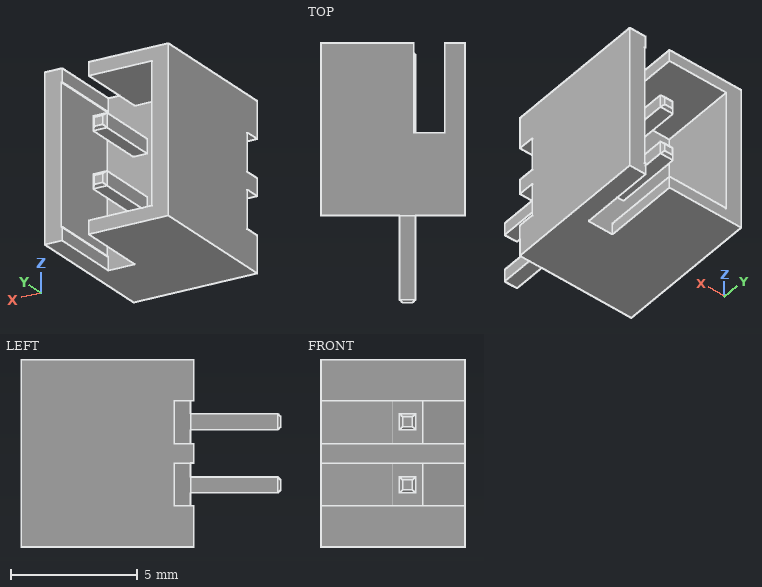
import cadquery as cq

WIDTH = 5.73
LENGTH = 6.85
OVERALL_LENGTH = 10.3
HEIGHT = 7.43

CAVITY_DEPTH = 3.55
SIDE_WALL = 0.77
FLAT_WALL = 0.6

SLOT_WIDTH = 1.23
SLOT_EDGE_WALL = 0.81

PIN_X = 3.44
PIN_PITCH = 2.5
PIN_SIZE = 0.64
PIN_TAIL = OVERALL_LENGTH - LENGTH
PIN_SETBACK = 0.35
PIN_CHAMFER = 0.12

GROOVE_PITCH = 2.46
GROOVE_HEIGHT = 1.69
GROOVE_LAND_WIDTH = 1.22
GROOVE_LAND_DEPTH = 0.13
GROOVE_END_DEPTH = 0.77


def corner_box(x_size, y_size, z_size, corner):
    return cq.Workplane("XY").box(x_size, y_size, z_size, centered=False).translate(corner)


def front_groove(center_z):
    """Groove that is shallow at the pin and deepens towards both sides."""
    land_left = PIN_X - GROOVE_LAND_WIDTH / 2
    land_right = PIN_X + GROOVE_LAND_WIDTH / 2
    outline = [
        (0, 0),
        (0, GROOVE_END_DEPTH),
        (land_left, GROOVE_LAND_DEPTH),
        (land_right, GROOVE_LAND_DEPTH),
        (WIDTH, GROOVE_END_DEPTH),
        (WIDTH, 0),
    ]
    groove = cq.Workplane("XY").polyline(outline).close().extrude(GROOVE_HEIGHT)
    return groove.translate((0, 0, center_z - GROOVE_HEIGHT / 2))


def pin(center_z):
    """Square pin with chamfered ends."""
    pin_length = PIN_TAIL + LENGTH - PIN_SETBACK
    corner = (PIN_X - PIN_SIZE / 2, -PIN_TAIL, center_z - PIN_SIZE / 2)
    blank = corner_box(PIN_SIZE, pin_length, PIN_SIZE, corner)
    return blank.faces("<Y or >Y").chamfer(PIN_CHAMFER)


def housing():
    cavity_floor = LENGTH - CAVITY_DEPTH
    cavity = corner_box(
        WIDTH - 2 * SIDE_WALL,
        CAVITY_DEPTH,
        HEIGHT - 2 * FLAT_WALL,
        (SIDE_WALL, cavity_floor, FLAT_WALL),
    )
    slot_left = WIDTH - SLOT_EDGE_WALL - SLOT_WIDTH
    slot = corner_box(SLOT_WIDTH, CAVITY_DEPTH, HEIGHT, (slot_left, cavity_floor, 0))
    return corner_box(WIDTH, LENGTH, HEIGHT, (0, 0, 0)).cut(cavity).cut(slot)


result = housing()
for side in (-1, 1):
    result = result.cut(front_groove(HEIGHT / 2 + side * GROOVE_PITCH / 2))
    result = result.union(pin(HEIGHT / 2 + side * PIN_PITCH / 2))